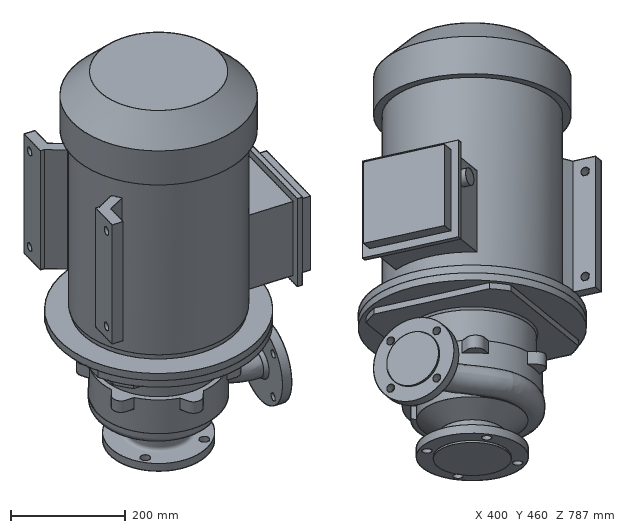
import cadquery as cq
import math

TOTAL_HEIGHT = 787.0

FLANGE_RADIUS = 200.0
JOINT_Z = 267.0
MOTOR_FLANGE_TOP = 282.0
ADAPTER_BOTTOM = 253.0
ADAPTER_FLAT_Y = -175.0

PLATE_BOTTOM = 241.0
PLATE_RADIUS = 192.0
PLATE_WIDTH = 286.0
PLATE_DEPTH = 308.5

LANTERN_RADIUS = 112.5
LANTERN_FLARE_RADIUS = 115.0
LANTERN_FLARE_Z = 236.0
CASING_RADIUS = 123.0
CASING_TOP = 172.0
CASING_BOTTOM = 101.0
VOLUTE_BOTTOM = 75.0
CONE_TOP_RADIUS = 97.5
CONE_BOTTOM_Z = 49.0
NECK_RADIUS = 58.0
NECK_FLARE = 7.0
SUCTION_FLANGE_TOP = 20.5
SUCTION_FLANGE_RADIUS = 98.0
SUCTION_FACE_RADIUS = 68.5
RAISED_FACE = 4.0
SUCTION_BOLT_CIRCLE_RADIUS = 83.5
SUCTION_BOLT_HOLE = 18.0

LUG_COUNT = 6
LUG_TIP_RADIUS = 144.0
LUG_SHOULDER_RADIUS = 134.0
LUG_ROOT_RADIUS = 114.0
LUG_TIP_HALF_WIDTH = 16.0
LUG_ROOT_HALF_WIDTH = 27.0
LUG_HEIGHT = 24.5

QUARTER_TURN = 90
VOLUTE_START = -30
VOLUTE_END = 210
VOLUTE_STEP = 30
VOLUTE_RADIUS = 111.0
VOLUTE_RADIUS_GROWTH = 9.5
VOLUTE_SIZE = 41.0
VOLUTE_SIZE_GROWTH = 4.3
VOLUTE_CORNER = 0.16
VOLUTE_CORNER_GROWTH = 0.14

PIPE_END_Y = 196.0
PIPE_FLARE_RADIUS = 31.0
DISCHARGE_FLANGE_Y = 204.0
DISCHARGE_FLANGE_THICKNESS = 19.0
DISCHARGE_FLANGE_RADIUS = 79.5
DISCHARGE_FACE_RADIUS = 51.0
DISCHARGE_BOLT_CIRCLE_RADIUS = 64.5
DISCHARGE_BOLT_HOLE = 15.0
PIPE_RADIUS = (VOLUTE_SIZE + VOLUTE_SIZE_GROWTH * VOLUTE_END / QUARTER_TURN) / 2
DISCHARGE_Z = VOLUTE_BOTTOM + PIPE_RADIUS

BOLT_HOLE_COUNT = 4
FIRST_BOLT_ANGLE = 45

FRAME_RADIUS = 158.0
FRAME_BOTTOM = 293.0
FRAME_SPIGOT_RADIUS = 155.0
COVER_RADIUS = 173.0
COVER_BOTTOM = 664.0
COVER_SHOULDER = 737.0
COVER_TOP_RADIUS = 121.0

FOOT_BOTTOM = 363.5
FOOT_TOP = 617.0
FOOT_OUTER_X = 160.5
FOOT_INNER_X = 101.0
FOOT_FRONT_Y = -181.0
FOOT_BACK_Y = -159.0
FOOT_HEEL_Y = -173.0
FOOT_KNEE_X = 116.0
LEG_RUN_X = 20.5
LEG_RUN_Y = 35.0
FOOT_HOLE_X = 140.0
FOOT_HOLE_DIAMETER = 16.0
FOOT_HOLE_INSET = 25.0

BOX_WIDTH = 160.0
BOX_BOTTOM = 326.5
BOX_TOP = 484.0
BOX_INNER_Y = 135.0
BOX_OUTER_Y = 260.0
RIM_INNER_Y = 225.0
RIM_THICKNESS = 10.0
RIM_OVERHANG = 15.0
GLAND_RADIUS = 16.0
GLAND_Y = 192.0
GLAND_Z = 446.0
GLAND_LENGTH = 15.0


def cylinder(radius, bottom, top):
    """Cylinder on the shaft axis between two heights."""
    return cq.Workplane("XY").workplane(offset=bottom).circle(radius).extrude(top - bottom)


def block(x_size, y_size, bottom, top):
    """Rectangular block centred on the shaft axis between two heights."""
    return cq.Workplane("XY").workplane(offset=bottom).rect(x_size, y_size).extrude(top - bottom)


def block_behind(width, y_inner, y_outer, bottom, top):
    """Block centred on X = 0 between two Y positions and two heights."""
    middle_y = (y_inner + y_outer) / 2
    return block(width, y_outer - y_inner, bottom, top).translate((0, middle_y, 0))


def pump_core():
    """Turned body from the raised suction face up to the lantern."""
    flange_bottom = RAISED_FACE
    neck_bottom = SUCTION_FLANGE_TOP + NECK_FLARE
    profile = (
        cq.Workplane("XZ")
        .moveTo(0, 0)
        .lineTo(SUCTION_FACE_RADIUS, 0)
        .lineTo(SUCTION_FACE_RADIUS, flange_bottom)
        .lineTo(SUCTION_FLANGE_RADIUS, flange_bottom)
        .lineTo(SUCTION_FLANGE_RADIUS, SUCTION_FLANGE_TOP)
        .lineTo(NECK_RADIUS + NECK_FLARE, SUCTION_FLANGE_TOP)
        .radiusArc((NECK_RADIUS, neck_bottom), NECK_FLARE)
        .lineTo(NECK_RADIUS, CONE_BOTTOM_Z)
        .lineTo(CONE_TOP_RADIUS, VOLUTE_BOTTOM)
        .lineTo(CONE_TOP_RADIUS, CASING_BOTTOM)
        .lineTo(CASING_RADIUS, CASING_BOTTOM)
        .lineTo(CASING_RADIUS, CASING_TOP)
        .lineTo(LANTERN_RADIUS, CASING_TOP)
        .lineTo(LANTERN_RADIUS, LANTERN_FLARE_Z)
        .lineTo(LANTERN_FLARE_RADIUS, PLATE_BOTTOM)
        .lineTo(0, PLATE_BOTTOM)
        .close()
    )
    return profile.revolve(360, (0, 0, 0), (0, 1, 0))


def spacer_plate():
    """Round plate trimmed by flats on all four sides."""
    disc = cylinder(PLATE_RADIUS, PLATE_BOTTOM, ADAPTER_BOTTOM)
    return disc.intersect(block(PLATE_WIDTH, PLATE_DEPTH, PLATE_BOTTOM, ADAPTER_BOTTOM))


def adapter_flange():
    """Flange under the motor, with one flat on its front."""
    disc = cylinder(FLANGE_RADIUS, ADAPTER_BOTTOM, JOINT_Z)
    kept = block_behind(2 * FLANGE_RADIUS, ADAPTER_FLAT_Y, FLANGE_RADIUS, ADAPTER_BOTTOM, JOINT_Z)
    return disc.intersect(kept)


def clamping_lug(angle):
    """One round-tipped lug that flares out towards the casing."""
    lug = (
        cq.Workplane("XY")
        .workplane(offset=CASING_TOP - LUG_HEIGHT)
        .moveTo(LUG_ROOT_RADIUS, -LUG_ROOT_HALF_WIDTH)
        .lineTo(LUG_SHOULDER_RADIUS, -LUG_TIP_HALF_WIDTH)
        .threePointArc((LUG_TIP_RADIUS, 0), (LUG_SHOULDER_RADIUS, LUG_TIP_HALF_WIDTH))
        .lineTo(LUG_ROOT_RADIUS, LUG_ROOT_HALF_WIDTH)
        .close()
        .extrude(LUG_HEIGHT)
    )
    return lug.rotate((0, 0, 0), (0, 0, 1), angle)


def volute_radius(travel_degrees):
    """Outer radius of the volute."""
    return VOLUTE_RADIUS + VOLUTE_RADIUS_GROWTH * travel_degrees / QUARTER_TURN


def volute_size(travel_degrees):
    """Side of the volute's rounded square section."""
    return VOLUTE_SIZE + VOLUTE_SIZE_GROWTH * travel_degrees / QUARTER_TURN


def spiral_plane(travel_degrees):
    """Plane across the volute after the given travel, centred on the flow, X pointing outwards."""
    angle = math.radians(-travel_degrees)
    center_radius = volute_radius(travel_degrees) - volute_size(travel_degrees) / 2
    center = (
        center_radius * math.cos(angle),
        center_radius * math.sin(angle),
        VOLUTE_BOTTOM + volute_size(travel_degrees) / 2,
    )
    outward = (math.cos(angle), math.sin(angle), 0)
    travel = (math.sin(angle), -math.cos(angle), 0)
    return cq.Plane(origin=center, xDir=outward, normal=travel)


def volute_outline(travel_degrees):
    """Rounded square that turns nearly round as the volute grows."""
    size = volute_size(travel_degrees)
    corner_ratio = VOLUTE_CORNER + VOLUTE_CORNER_GROWTH * travel_degrees / QUARTER_TURN
    return cq.Sketch().rect(size, size).vertices().fillet(corner_ratio * size)


def volute():
    """Spiral round the casing, lofted from its wide end back to its narrow start."""
    sections = [
        volute_outline(travel).moved(cq.Location(spiral_plane(travel)))
        for travel in range(VOLUTE_END, VOLUTE_START - 1, -VOLUTE_STEP)
    ]
    return cq.Workplane("XY").placeSketch(*sections).loft()


def discharge_pipe():
    """Pipe that leaves the volute along its tangent and bends to run along +Y."""
    start_plane = spiral_plane(VOLUTE_END)
    bend = cq.Edge.makeSpline(
        [start_plane.origin, cq.Vector(0, PIPE_END_Y, DISCHARGE_Z)],
        tangents=[start_plane.zDir, cq.Vector(0, 1, 0)],
    )
    path = cq.Workplane(bend)
    return cq.Workplane(start_plane).placeSketch(volute_outline(VOLUTE_END)).sweep(path)


def bolt_holes(plane, circle_radius, hole_diameter, length):
    """Four bolt holes, as cutters, spread evenly on the given plane."""
    return (
        cq.Workplane(plane)
        .polarArray(circle_radius, FIRST_BOLT_ANGLE, 360, BOLT_HOLE_COUNT)
        .circle(hole_diameter / 2)
        .extrude(length)
    )


def discharge_nozzle():
    """Flared pipe end, bolted flange and raised face."""
    axis_plane = cq.Plane(origin=(0, 0, DISCHARGE_Z), xDir=(-1, 0, 0), normal=(0, 1, 0))
    flange_back_y = DISCHARGE_FLANGE_Y + DISCHARGE_FLANGE_THICKNESS
    flare = (
        cq.Workplane(axis_plane)
        .workplane(offset=PIPE_END_Y)
        .circle(PIPE_RADIUS)
        .workplane(offset=DISCHARGE_FLANGE_Y - PIPE_END_Y)
        .circle(PIPE_FLARE_RADIUS)
        .loft()
    )
    flange = (
        cq.Workplane(axis_plane)
        .workplane(offset=DISCHARGE_FLANGE_Y)
        .circle(DISCHARGE_FLANGE_RADIUS)
        .extrude(DISCHARGE_FLANGE_THICKNESS)
    )
    raised_face = (
        cq.Workplane(axis_plane)
        .workplane(offset=flange_back_y)
        .circle(DISCHARGE_FACE_RADIUS)
        .extrude(RAISED_FACE)
    )
    holes = bolt_holes(axis_plane, DISCHARGE_BOLT_CIRCLE_RADIUS, DISCHARGE_BOLT_HOLE, flange_back_y)
    return flange.cut(holes).union(flare).union(raised_face)


def make_pump():
    """Pump from the suction flange up to the adapter flange, as one solid."""
    suction_holes = bolt_holes(
        cq.Plane.XY(), SUCTION_BOLT_CIRCLE_RADIUS, SUCTION_BOLT_HOLE, SUCTION_FLANGE_TOP
    )
    body = pump_core().cut(suction_holes)
    body = body.union(spacer_plate()).union(adapter_flange())
    for index in range(LUG_COUNT):
        body = body.union(clamping_lug(index * 360 / LUG_COUNT))
    return body.union(volute()).union(discharge_pipe()).union(discharge_nozzle())


def motor_frame():
    """Turned motor body: flange, spigot, frame and conical fan cover."""
    profile = (
        cq.Workplane("XZ")
        .moveTo(0, JOINT_Z)
        .lineTo(FLANGE_RADIUS, JOINT_Z)
        .lineTo(FLANGE_RADIUS, MOTOR_FLANGE_TOP)
        .lineTo(FRAME_SPIGOT_RADIUS, MOTOR_FLANGE_TOP)
        .lineTo(FRAME_SPIGOT_RADIUS, FRAME_BOTTOM)
        .lineTo(FRAME_RADIUS, FRAME_BOTTOM)
        .lineTo(FRAME_RADIUS, COVER_BOTTOM)
        .lineTo(COVER_RADIUS, COVER_BOTTOM)
        .lineTo(COVER_RADIUS, COVER_SHOULDER)
        .lineTo(COVER_TOP_RADIUS, TOTAL_HEIGHT)
        .lineTo(0, TOTAL_HEIGHT)
        .close()
    )
    return profile.revolve(360, (0, 0, 0), (0, 1, 0))


def motor_foot():
    """Foot on the +X side: a drilled flat strip on a slanted leg."""
    strip = (
        cq.Workplane("XY")
        .workplane(offset=FOOT_BOTTOM)
        .moveTo(FOOT_OUTER_X, FOOT_FRONT_Y)
        .lineTo(FOOT_OUTER_X, FOOT_BACK_Y)
        .lineTo(FOOT_KNEE_X, FOOT_BACK_Y)
        .lineTo(FOOT_KNEE_X - LEG_RUN_X, FOOT_BACK_Y + LEG_RUN_Y)
        .lineTo(FOOT_INNER_X - LEG_RUN_X, FOOT_HEEL_Y + LEG_RUN_Y)
        .lineTo(FOOT_INNER_X, FOOT_HEEL_Y)
        .lineTo(FOOT_INNER_X, FOOT_FRONT_Y)
        .close()
        .extrude(FOOT_TOP - FOOT_BOTTOM)
    )
    hole_heights = [FOOT_BOTTOM + FOOT_HOLE_INSET, FOOT_TOP - FOOT_HOLE_INSET]
    holes = (
        cq.Workplane("XZ", origin=(0, FOOT_BACK_Y, 0))
        .pushPoints([(FOOT_HOLE_X, z) for z in hole_heights])
        .circle(FOOT_HOLE_DIAMETER / 2)
        .extrude(FOOT_BACK_Y - FOOT_FRONT_Y)
    )
    return strip.cut(holes)


def terminal_box():
    """Box behind the frame with a projecting rim and a cable gland on its -X side."""
    box = block_behind(BOX_WIDTH, BOX_INNER_Y, BOX_OUTER_Y, BOX_BOTTOM, BOX_TOP)
    rim = block_behind(
        BOX_WIDTH + 2 * RIM_OVERHANG,
        RIM_INNER_Y,
        RIM_INNER_Y + RIM_THICKNESS,
        BOX_BOTTOM - RIM_OVERHANG,
        BOX_TOP + RIM_OVERHANG,
    )
    gland = (
        cq.Workplane("YZ", origin=(-BOX_WIDTH / 2, GLAND_Y, GLAND_Z))
        .circle(GLAND_RADIUS)
        .extrude(-GLAND_LENGTH)
    )
    return box.union(rim).union(gland)


def make_motor():
    """Motor with its two feet and terminal box, as one solid."""
    foot = motor_foot()
    return motor_frame().union(foot).union(foot.mirror("YZ")).union(terminal_box())


pump = make_pump()
motor = make_motor()
result = cq.Compound.makeCompound([pump.val(), motor.val()])